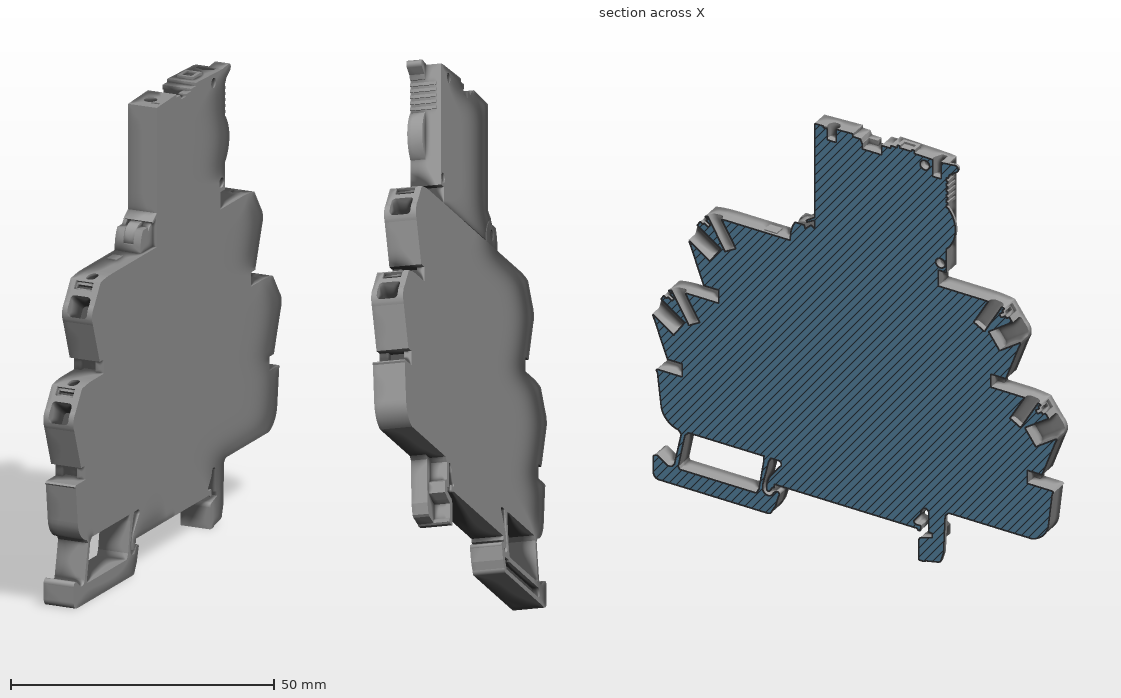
import cadquery as cq
import math

WIDTH = 6.4
LEFT, RIGHT = -WIDTH / 2, WIDTH / 2
LENGTH = 89.4
HEIGHT = 90.9

BODY_BOTTOM = 12.5
BODY_TOP = 62.4
TIER_DROP = 18.9
TIER_STEP = 8.0
UPPER_TIP = LENGTH / 2 - TIER_STEP

PLUG_LEFT = LEFT + 0.3
PLUG_TOP = 90.0
PLUG_FRONT, PLUG_BACK = -8.9, 20.3
SWELL = 0.4
CREASE = 19.2
BACK_FALL = 0.2
OVERLAP = 0.5
CLEAR = 0.9


def box(x_range, y_range, z_range):
    """Axis-aligned block between the given limits."""
    size = [high - low for low, high in (x_range, y_range, z_range)]
    corner = (x_range[0], y_range[0], z_range[0])
    return cq.Workplane("XY").box(*size, centered=False).translate(corner)


def across(x_start, x_end):
    """Y-Z sketch plane at x_start, with the distance to x_end."""
    return cq.Workplane("YZ", origin=(x_start, 0, 0)), x_end - x_start


def plate(points, x_start=LEFT, x_end=RIGHT):
    """Straight-sided Y-Z outline, extruded across X."""
    plane, depth = across(x_start, x_end)
    return plane.polyline(points).close().extrude(depth)


def rod(center, radius, x_start, x_end):
    """Round bar or bore along X."""
    plane, depth = across(x_start, x_end)
    return plane.center(*center).circle(radius).extrude(depth)


def both_ends(shape):
    """The shape together with its mirror image at the -Y end."""
    return shape.union(shape.mirror("XZ"))


SLOPE_TOP = (33.0, BODY_TOP - 0.5)
SLOPE_END = (35.7, 58.0)
NOSE_MIDDLE = (UPPER_TIP, 56.0)
NOSE_END = (36.3, 54.3)
CROWN_START = 28.0
CROWN_MIDDLE = (30.5, BODY_TOP - 0.1)
UNDERCUT = (33.4, 46.3)
NECK = 31.5

SLOPE_ANGLE = math.atan2(SLOPE_TOP[1] - SLOPE_END[1], SLOPE_END[0] - SLOPE_TOP[0])
SLOPE_OUT = (0, math.sin(SLOPE_ANGLE), math.cos(SLOPE_ANGLE))

WIRE_CENTER = (36.0, 57.55)
WIRE_SIZE = (4.2, 4.2)
WIRE_DEPTH = 6.4
WIRE_CORNER = 0.7

RELEASE_CENTER = (33.6, 61.0)
RELEASE_X = -0.1
RELEASE_SIZE = (3.7, 1.7)
RELEASE_DEPTH = 0.7
RELEASE_SLOT = (3.3, 0.7)
RELEASE_SLOT_DEPTH = 1.8

DRIVER_CENTER = (31.1, BODY_TOP)
DRIVER_X = 0.5
DRIVER_SIZE = (2.8, 1.9)
DRIVER_TILT = math.radians(30)
DRIVER_DEPTH = 7.3

NECK_POCKET_X = (-1.7, 1.4)
NECK_POCKET_DEPTH = 1.4


def tier_outline():
    """+Y half of the upper tier, from its neck up to its top."""
    plane, depth = across(LEFT, RIGHT)
    return (
        plane.moveTo(0, BODY_TOP)
        .lineTo(CROWN_START, BODY_TOP)
        .threePointArc(CROWN_MIDDLE, SLOPE_TOP)
        .lineTo(*SLOPE_END)
        .threePointArc(NOSE_MIDDLE, NOSE_END)
        .lineTo(*UNDERCUT)
        .lineTo(NECK, UNDERCUT[1])
        .lineTo(NECK, BODY_TOP - TIER_DROP - OVERLAP)
        .lineTo(0, BODY_TOP - TIER_DROP - OVERLAP)
        .close()
        .extrude(depth)
    )


def inclined_plane(x, center, outward):
    """Sketch plane at a point of the +Y end, facing outward, with its x axis along X."""
    return cq.Workplane(cq.Plane(origin=(x, *center), xDir=(1, 0, 0), normal=outward))


def terminal_cuts():
    """Wire entry, release recess, screwdriver slot and neck pocket of the upper +Y tier."""
    wire = (
        inclined_plane(0, WIRE_CENTER, SLOPE_OUT)
        .workplane(offset=CLEAR)
        .rect(*WIRE_SIZE)
        .extrude(-WIRE_DEPTH - CLEAR)
        .edges(cq.ParallelDirSelector(cq.Vector(*SLOPE_OUT)))
        .fillet(WIRE_CORNER)
    )
    release_face = inclined_plane(RELEASE_X, RELEASE_CENTER, SLOPE_OUT)
    release = release_face.workplane(offset=CLEAR).rect(*RELEASE_SIZE).extrude(-RELEASE_DEPTH - CLEAR)
    release_slot = release_face.rect(*RELEASE_SLOT).extrude(-RELEASE_SLOT_DEPTH)
    driver_axis = (0, math.sin(DRIVER_TILT), math.cos(DRIVER_TILT))
    driver = (
        inclined_plane(DRIVER_X, DRIVER_CENTER, driver_axis)
        .workplane(offset=CLEAR)
        .slot2D(*DRIVER_SIZE, 90)
        .extrude(-DRIVER_DEPTH - CLEAR)
    )
    pocket = box(
        NECK_POCKET_X,
        (NECK - NECK_POCKET_DEPTH, NECK + CLEAR),
        (BODY_TOP - TIER_DROP, UNDERCUT[1]),
    )
    return wire.union(release).union(release_slot).union(driver).union(pocket)


BASE_TOP = 24.55
BASE_LIP = 0.6
BASE_LIP_TIP = 43.9
BASE_SIDE_TOP = 43.6
BASE_CORNER_TOP = (42.8, 16.8)
BASE_CORNER_MIDDLE = (41.55, 13.9)
BASE_CORNER_BOTTOM = 39.1

LABEL_X = (-1.8, 0.3)
LABEL_Y = (-20.3, -17.55)
LABEL_RISE = 0.3


def base_outline():
    """+Y half of the lowest part of the housing, up to the underside of the lower tier's neck."""
    lower_neck = NECK + TIER_STEP
    plane, depth = across(LEFT, RIGHT)
    return (
        plane.moveTo(0, UNDERCUT[1] - TIER_DROP + OVERLAP)
        .lineTo(lower_neck, UNDERCUT[1] - TIER_DROP + OVERLAP)
        .lineTo(lower_neck, BASE_TOP)
        .lineTo(BASE_LIP_TIP - BASE_LIP / 2, BASE_TOP)
        .lineTo(BASE_LIP_TIP, BASE_TOP - BASE_LIP / 2)
        .lineTo(BASE_SIDE_TOP, BASE_TOP - BASE_LIP)
        .lineTo(*BASE_CORNER_TOP)
        .threePointArc(BASE_CORNER_MIDDLE, (BASE_CORNER_BOTTOM, BODY_BOTTOM))
        .lineTo(0, BODY_BOTTOM)
        .close()
        .extrude(depth)
    )


def housing():
    upper = tier_outline()
    to_lower = (0, TIER_STEP, -TIER_DROP)
    lower = upper.translate(to_lower).union(
        box((LEFT, RIGHT), (0, NECK), (UNDERCUT[1] - TIER_DROP, BODY_TOP - TIER_DROP))
    )
    solid = both_ends(upper.union(lower).union(base_outline()))
    cuts = terminal_cuts()
    solid = solid.cut(both_ends(cuts)).cut(both_ends(cuts.translate(to_lower)))
    label = box(LABEL_X, LABEL_Y, (BODY_TOP - OVERLAP, BODY_TOP + LABEL_RISE))
    return solid.union(label)


RAIL_FACE = 6.9
FOOT_TOP = 3.8
CLIP_RECESS = 3.2
CLIP_CUT_EDGE = 21.8
FOOT_RECESS = 1.4


def rail_seat():
    """Centre block with the fixed hook at +Y and the spring tongue at -Y."""
    plane, depth = across(LEFT, RIGHT)
    return (
        plane.moveTo(16.3, BODY_BOTTOM + OVERLAP)
        .lineTo(16.3, 11.4)
        .threePointArc((15.55, 11.9), (14.8, 11.4))
        .lineTo(14.55, 10.4)
        .lineTo(13.2, 8.55)
        .threePointArc((13.2, 8.0), (13.7, 7.8))
        .lineTo(14.6, 7.8)
        .lineTo(14.6, 6.9)
        .threePointArc((14.2, 6.55), (13.7, RAIL_FACE))
        .lineTo(-17.7, RAIL_FACE)
        .lineTo(-17.7, 6.2)
        .lineTo(-18.2, 6.0)
        .lineTo(-18.9, 4.9)
        .lineTo(-19.5, 5.1)
        .threePointArc((-19.2, 7.5), (-18.4, 8.9))
        .lineTo(-16.55, 11.3)
        .threePointArc((-16.3, 12.0), (-16.9, BODY_BOTTOM))
        .lineTo(-16.9, BODY_BOTTOM + OVERLAP)
        .close()
        .extrude(depth)
    )


def fixed_clip():
    """Claw at +Y; its outer half is set back from the -X face."""
    plane, depth = across(LEFT, RIGHT)
    claw = (
        plane.moveTo(20.7, BODY_BOTTOM + OVERLAP)
        .lineTo(20.7, BODY_BOTTOM)
        .lineTo(20.0, 11.7)
        .lineTo(19.6, 3.3)
        .lineTo(19.0, 1.2)
        .lineTo(18.5, 0.8)
        .lineTo(15.7, 0.3)
        .lineTo(15.4, 0)
        .lineTo(14.1, 0)
        .lineTo(14.1, 4.4)
        .threePointArc((14.4, 5.0), (15.0, 5.3))
        .lineTo(17.1, 5.9)
        .lineTo(17.1, 6.7)
        .lineTo(16.3, 6.9)
        .lineTo(16.3, BODY_BOTTOM + OVERLAP)
        .close()
        .extrude(depth)
    )
    set_back = plate(
        [
            (CLIP_CUT_EDGE, BODY_BOTTOM),
            (18.3, BODY_BOTTOM),
            (17.5, 11.6),
            (17.5, 8.2),
            (18.7, 7.5),
            (18.7, 5.3),
            (16.7, 4.5),
            (15.4, 4.0),
            (15.4, 1.2),
            (15.8, 0.8),
            (15.7, 0),
            (CLIP_CUT_EDGE, 0),
        ],
        LEFT,
        LEFT + CLIP_RECESS,
    )
    return claw.cut(set_back)


def spring_foot():
    """Sliding foot at -Y hung on two thin struts."""
    plane, depth = across(LEFT, RIGHT)
    frame = (
        plane.moveTo(-18.2, BODY_BOTTOM + OVERLAP)
        .lineTo(-18.55, BODY_BOTTOM)
        .lineTo(-19.0, 11.5)
        .lineTo(-20.3, 6.1)
        .lineTo(-20.3, 5.1)
        .threePointArc((-19.3, 4.1), (-18.0, 4.9))
        .lineTo(-17.5, 5.5)
        .threePointArc((-16.8, 5.5), (-16.7, 4.7))
        .lineTo(-17.5, 2.2)
        .lineTo(-18.3, 0.7)
        .threePointArc((-18.6, 0.2), (-19.3, 0))
        .lineTo(-43.1, 0)
        .threePointArc((-44.2, 0.5), (-44.55, 1.5))
        .lineTo(-44.55, 4.5)
        .threePointArc((-44.3, 5.2), (-43.55, 5.4))
        .lineTo(-41.6, 4.0)
        .threePointArc((-40.55, 3.9), (-39.8, 4.7))
        .lineTo(-38.4, 11.6)
        .lineTo(-38.9, BODY_BOTTOM)
        .lineTo(-38.9, BODY_BOTTOM + OVERLAP)
        .close()
        .extrude(depth)
    )
    window = plate(
        [
            (-20.1, BODY_BOTTOM),
            (-20.2, 11.1),
            (-21.2, 4.9),
            (-21.7, FOOT_TOP),
            (-38.6, FOOT_TOP),
            (-38.9, 4.4),
            (-37.5, 11.6),
            (-36.7, BODY_BOTTOM),
        ]
    )
    groove_plane, groove_depth = across(LEFT, LEFT + FOOT_RECESS)
    groove = (
        groove_plane.moveTo(-18.55, 3.1)
        .lineTo(-21.1, 3.1)
        .lineTo(-21.5, 2.8)
        .lineTo(-39.3, 2.8)
        .threePointArc((-40.2, 1.8), (-39.3, 0.9))
        .lineTo(-19.6, 0.9)
        .close()
        .extrude(groove_depth)
    )
    return frame.cut(window).cut(groove)


VALLEY_FLOOR = PLUG_TOP - 1.2
VALLEY_LEDGE = PLUG_TOP - 0.3
VALLEY_Y = (1.6, 5.9)
POCKET_FLOOR = VALLEY_FLOOR - 1.2
POCKET_FRONT, POCKET_RIGHT = 1.7, 2.5
STEP_Y = 3.7
NEAR_STEP_RIGHT = -1.55
FAR_BLOCK_LEFT = 1.55
FAR_BLOCK_RISE = 0.5
UNDERCUT_BACK = 6.4
HEEL = (18.5, 65.8)

BUTTON_X = (-1.55, 1.8)
BUTTON_Y = (9.4, 13.2)
BUTTON_RIM = 0.6
BUTTON_RECESS = 0.5

SIDE_HOLES = [(15.5, 88.3), (18.9, 67.55)]
SIDE_HOLE_RADIUS = 1.0

TEST_HOLE_CENTER = (0, -5.1)
TEST_HOLE_RADIUS = 1.3
TEST_HOLE_DEPTH = 2.7
TEST_MARK_X, TEST_MARK_Y = (0.8, 2.55), (-6.9, -6.2)
TEST_MARK_DEPTH = 0.3

KEY_HALF_WIDTH = 1.9
KEY_CENTER = 0.1
KEY_Y = (16.9, 19.0)
KEY_SHOULDER = 17.8
KEY_DEPTH = 3.6

LEVER_LEFT = 0.2
GRIP_LEFT = -2.0
GRIP_RISE = 0.3
GRIP_Z = (80.9, 86.9)
GRIP_RIBS = 5
SLIT_Y, SLIT_HEIGHT, SLIT_DEPTH = (-7.5, 5.9), 0.4, 0.2


def plug_body():
    swell_top = PLUG_TOP + SWELL
    body = plate(
        [
            (HEEL[0], BODY_TOP - OVERLAP),
            HEEL,
            (PLUG_BACK, HEEL[1]),
            (PLUG_BACK, PLUG_TOP - BACK_FALL),
            (CREASE, PLUG_TOP),
            (7.9, swell_top),
            (7.9, VALLEY_LEDGE),
            (VALLEY_Y[1], VALLEY_LEDGE),
            (VALLEY_Y[1], VALLEY_FLOOR),
            (VALLEY_Y[0], VALLEY_FLOOR),
            (1.3, VALLEY_LEDGE),
            (-0.4, VALLEY_LEDGE),
            (-0.4, swell_top),
            (PLUG_FRONT, PLUG_TOP),
            (PLUG_FRONT, BODY_TOP - OVERLAP),
        ],
        PLUG_LEFT,
        RIGHT,
    )
    for center in SIDE_HOLES:
        body = body.cut(rod(center, SIDE_HOLE_RADIUS, LEFT, RIGHT))
    slit = box((PLUG_LEFT, PLUG_LEFT + SLIT_DEPTH), SLIT_Y, (BODY_TOP, BODY_TOP + SLIT_HEIGHT))
    return body.cut(slit)


def valley_pocket():
    """Stepped pocket in the dip, open through the -X side."""
    depth_range = (POCKET_FLOOR, VALLEY_FLOOR)
    pocket = box((PLUG_LEFT, POCKET_RIGHT), (POCKET_FRONT, VALLEY_Y[1]), depth_range)
    near_step = box((PLUG_LEFT, NEAR_STEP_RIGHT), (POCKET_FRONT, STEP_Y), depth_range)
    undercut = box((PLUG_LEFT, NEAR_STEP_RIGHT), (STEP_Y, UNDERCUT_BACK), depth_range)
    return pocket.cut(near_step).union(undercut)


def valley_block():
    """Raised block at the far +Y corner of the dip."""
    height_range = (POCKET_FLOOR, VALLEY_FLOOR + FAR_BLOCK_RISE)
    return box((FAR_BLOCK_LEFT, RIGHT), (STEP_Y, VALLEY_Y[1]), height_range)


def test_hole():
    """Round test hole in the top with a small marker recess beside it."""
    hole = (
        cq.Workplane("XY", origin=(*TEST_HOLE_CENTER, PLUG_TOP - TEST_HOLE_DEPTH))
        .circle(TEST_HOLE_RADIUS)
        .extrude(TEST_HOLE_DEPTH + CLEAR)
    )
    mark = box(TEST_MARK_X, TEST_MARK_Y, (PLUG_TOP - TEST_MARK_DEPTH, PLUG_TOP + SWELL))
    return hole.union(mark)


def key_pocket():
    """Five-sided pocket in the top, pointing toward -Y."""
    left, right = KEY_CENTER - KEY_HALF_WIDTH, KEY_CENTER + KEY_HALF_WIDTH
    return (
        cq.Workplane("XY", origin=(0, 0, PLUG_TOP - KEY_DEPTH))
        .moveTo(left, KEY_Y[1])
        .lineTo(right, KEY_Y[1])
        .lineTo(right, KEY_SHOULDER)
        .lineTo(KEY_CENTER, KEY_Y[0])
        .lineTo(left, KEY_SHOULDER)
        .close()
        .extrude(KEY_DEPTH + CLEAR)
    )


def marker_button():
    button = box(BUTTON_X, BUTTON_Y, (PLUG_TOP, HEIGHT))
    recess = box(
        (BUTTON_X[0] + BUTTON_RIM, BUTTON_X[1] - BUTTON_RIM),
        (BUTTON_Y[0] + BUTTON_RIM, BUTTON_Y[1] - BUTTON_RIM),
        (HEIGHT - BUTTON_RECESS, HEIGHT),
    )
    return button.cut(recess)


def back_lever():
    """Hook, ribbed grip and rounded thumb rest on the +Y side of the plug."""
    plane, depth = across(LEVER_LEFT, RIGHT)
    hook = (
        plane.moveTo(CREASE, PLUG_TOP)
        .lineTo(21.7, PLUG_TOP + 0.3)
        .threePointArc((22.8, 89.8), (22.5, 88.8))
        .lineTo(21.0, 87.8)
        .lineTo(PLUG_BACK + GRIP_RISE, GRIP_Z[1])
        .lineTo(CREASE, GRIP_Z[1])
        .close()
        .extrude(depth)
    )
    thumb_rest = (
        plane.moveTo(PLUG_BACK - OVERLAP, 80.4)
        .lineTo(20.55, 80.4)
        .threePointArc((22.3, 75.7), (PLUG_BACK, 71.1))
        .lineTo(PLUG_BACK - OVERLAP, 71.1)
        .close()
        .extrude(depth)
    )
    lever = hook.union(thumb_rest)
    pitch = (GRIP_Z[1] - GRIP_Z[0]) / GRIP_RIBS
    for index in range(GRIP_RIBS):
        bottom = GRIP_Z[0] + index * pitch
        rib = box(
            (GRIP_LEFT, RIGHT),
            (PLUG_BACK - OVERLAP, PLUG_BACK + GRIP_RISE),
            (bottom, bottom + pitch / 2),
        )
        lever = lever.union(rib)
    return lever


LATCH_LEFT, LATCH_RIGHT = LEFT + 0.1, 2.4
LATCH_TIP = -14.3
LATCH_TOP = 66.7
LATCH_BASE_TOP = 63.9
WING_RIGHT = -2.2
DRUM_X = (-1.4, 0.8)
DRUM_CENTER = (-10.8, 64.55)
DRUM_RADIUS = 2.9
PIN_RADIUS = 1.1
PIN_DEPTH = 0.3


def latch():
    """Two cheeks beside a round drum, below an inclined guard held by a stem and a side wing."""
    plane, depth = across(LATCH_LEFT, LATCH_RIGHT)
    cheeks = (
        plane.moveTo(-7.5, BODY_TOP - OVERLAP)
        .lineTo(-7.5, 63.3)
        .threePointArc((-8.0, 65.5), (-9.6, 67.2))
        .lineTo(-10.9, 66.0)
        .lineTo(-11.1, LATCH_TOP)
        .lineTo(-13.2, LATCH_TOP)
        .threePointArc((-14.0, 64.9), (LATCH_TIP, 62.7))
        .lineTo(LATCH_TIP, BODY_TOP - OVERLAP)
        .close()
        .extrude(depth)
    )
    gap = box(DRUM_X, (LATCH_TIP - CLEAR, PLUG_FRONT), (LATCH_BASE_TOP, LATCH_TOP + CLEAR))
    drum = rod(DRUM_CENTER, DRUM_RADIUS, *DRUM_X)
    pin_hole = rod(DRUM_CENTER, PIN_RADIUS, LATCH_LEFT, LATCH_LEFT + PIN_DEPTH)
    guard = plate(
        [(PLUG_FRONT, 69.1), (-10.8, 67.8), (-10.55, 67.5), (PLUG_FRONT, 68.4)],
        PLUG_LEFT,
        RIGHT,
    )
    wing = plate(
        [(PLUG_FRONT, 68.6), (-10.7, 67.7), (-11.6, 66.7), (-11.1, 66.0), (PLUG_FRONT, 66.0)],
        PLUG_LEFT,
        WING_RIGHT,
    )
    stem = plate([(PLUG_FRONT, 68.6), (-11.8, 66.8), (-11.3, 66.4), (PLUG_FRONT, 66.4)], *DRUM_X)
    return cheeks.cut(gap).union(drum).cut(pin_hole).union(guard).union(wing).union(stem)


plug = plug_body().cut(valley_pocket()).cut(test_hole()).cut(key_pocket())
plug = plug.union(valley_block()).union(marker_button()).union(back_lever()).union(latch())

result = housing().union(rail_seat()).union(fixed_clip()).union(spring_foot()).union(plug)